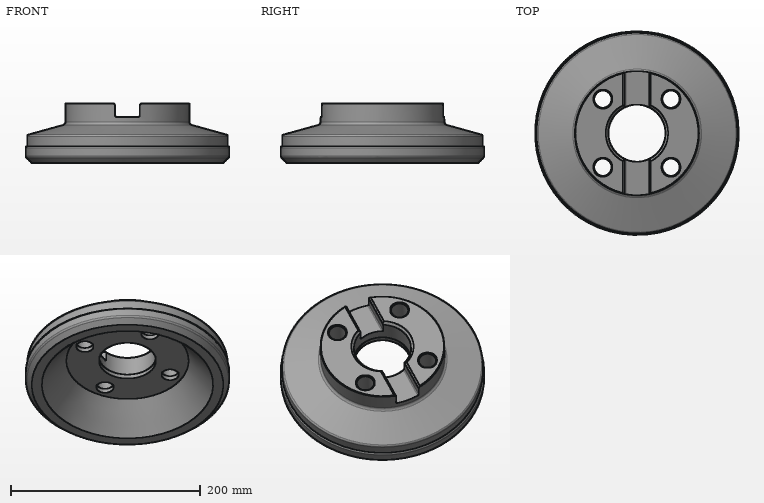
import cadquery as cq
import math

total_height = 63.0
liner_top = 37.9
web_thickness = 5.4
web_bottom = liner_top - web_thickness
parting_height = 17.6

hub_diameter = 131.0
skirt_diameter = 212.0
shoulder_height = 29.7
cone_angle = 15.5
hub_bore = 60.2
bore_chamfer = 2.8
hub_top_chamfer = 0.6
hub_root_fillet = 3.2
shoulder_fillet = 2.2

slot_width = 25.8
slot_depth = 14.2
slot_edge_chamfer = 2.0
slot_floor_fillet = 1.0

bolt_hole_diameter = 18.0
bolt_hole_chamfer = 1.0
bolt_spacing = 71.9

lip_diameter = 215.2
liner_bore = 60.0
lip_bottom_chamfer = 6.5
lip_top_fillet = 1.5
lip_bottom_fillet = 3.2
crown_radius = 66.7
seat_radius = 96.8
cavity_top_radius = 64.5
cavity_mouth_radius = 90.4

hub_radius = hub_diameter / 2
skirt_radius = skirt_diameter / 2
cone_rise = (skirt_radius - hub_radius) * math.tan(math.radians(cone_angle))
hub_root_height = shoulder_height + cone_rise
edge_tolerance = 0.02


def revolve_profile(points):
    """Revolve a closed (radius, height) outline about the Z axis."""
    outline = cq.Workplane("XZ").polyline(points).close()
    return outline.revolve(360, (0, 0, 0), (0, 1, 0))


def circle_edges_at(body, radius, height):
    """Find the circular edge of the given radius and height."""
    def is_match(edge):
        box = edge.BoundingBox()
        same_radius = abs(box.xmax - radius) < edge_tolerance
        at_height = max(abs(box.zmin - height), abs(box.zmax - height)) < edge_tolerance
        return same_radius and at_height

    return body.edges().filter(is_match)


def bolt_hole_cutter():
    """Four straight cylinders running through the full height."""
    return (cq.Workplane("XY")
            .rect(bolt_spacing, bolt_spacing, forConstruction=True).vertices()
            .circle(bolt_hole_diameter / 2).extrude(total_height))


def bolt_countersink_cutter():
    """Four shallow cones that break the hole edges on the hub face."""
    return (cq.Workplane("XY").workplane(offset=total_height)
            .rect(bolt_spacing, bolt_spacing, forConstruction=True).vertices()
            .circle(bolt_hole_diameter / 2 + bolt_hole_chamfer)
            .extrude(-bolt_hole_chamfer, taper=45))


def slot_cutter():
    """Slot along Y with a rounded floor and chamfered top edges."""
    floor_height = total_height - slot_depth
    channel = (cq.Workplane("XY")
               .box(slot_width, lip_diameter, slot_depth, centered=(True, True, False))
               .edges("|Y and <Z").fillet(slot_floor_fillet)
               .translate((0, 0, floor_height)))
    half_width = slot_width / 2
    bevel = (cq.Workplane("XZ")
             .polyline([(-half_width - slot_edge_chamfer, total_height),
                        (half_width + slot_edge_chamfer, total_height),
                        (half_width, total_height - slot_edge_chamfer),
                        (-half_width, total_height - slot_edge_chamfer)])
             .close().extrude(lip_diameter / 2, both=True))
    return channel.union(bevel)


def make_hub():
    """Metal hub: slotted boss, conical flange and short skirt."""
    bore_radius = hub_bore / 2
    hub = revolve_profile([
        (bore_radius, liner_top),
        (crown_radius, liner_top),
        (seat_radius, parting_height),
        (skirt_radius, parting_height),
        (skirt_radius, shoulder_height),
        (hub_radius, hub_root_height),
        (hub_radius, total_height),
        (bore_radius, total_height),
    ])
    hub = circle_edges_at(hub, skirt_radius, shoulder_height).fillet(shoulder_fillet)
    hub = circle_edges_at(hub, hub_radius, hub_root_height).fillet(hub_root_fillet)
    hub = circle_edges_at(hub, hub_radius, total_height).chamfer(hub_top_chamfer)
    hub = circle_edges_at(hub, bore_radius, total_height).chamfer(bore_chamfer)
    return hub.cut(slot_cutter()).cut(bolt_hole_cutter()).cut(bolt_countersink_cutter())


def make_liner():
    """Cup-shaped liner under the hub, with a lip that projects past the skirt."""
    bore_radius = liner_bore / 2
    lip_radius = lip_diameter / 2
    liner = revolve_profile([
        (bore_radius, liner_top),
        (crown_radius, liner_top),
        (seat_radius, parting_height),
        (lip_radius, parting_height),
        (lip_radius, lip_bottom_chamfer),
        (lip_radius - lip_bottom_chamfer, 0),
        (cavity_mouth_radius, 0),
        (cavity_top_radius, web_bottom),
        (bore_radius, web_bottom),
    ])
    liner = circle_edges_at(liner, lip_radius, parting_height).fillet(lip_top_fillet)
    liner = circle_edges_at(liner, lip_radius, lip_bottom_chamfer).fillet(lip_bottom_fillet)
    return liner.cut(bolt_hole_cutter())


hub = make_hub()
liner = make_liner()
result = cq.Compound.makeCompound([hub.val(), liner.val()])